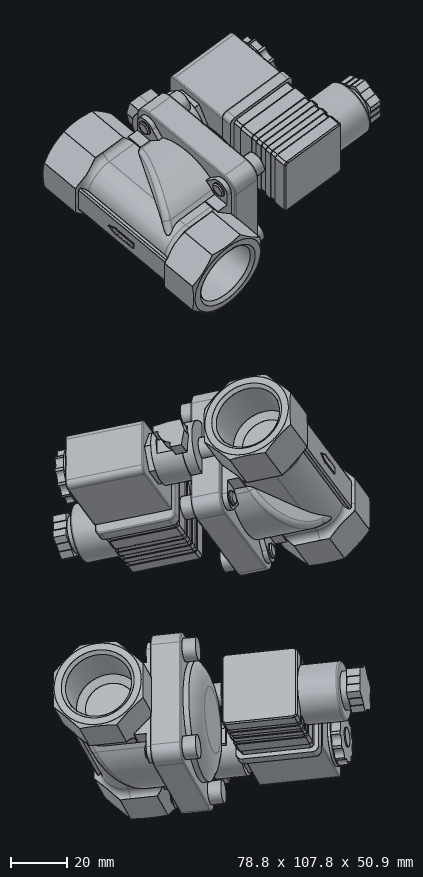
import cadquery as cq
import math


HEX_SIDES = 6

PORT_LEFT_X = -40.2
PORT_RIGHT_X = 38.6
LEFT_SHOULDER_X = -22.95
RIGHT_SHOULDER_X = 23.2
PORT_SIDES = 8
PORT_FLATS = 32.8
PORT_END_DIAMETER = 31.8
PORT_CHAMFER_LENGTH = 0.9
BORE_DIAMETER = 24.12
BORE_MOUTH_DIAMETER = 26.6
BORE_FLOOR_DIAMETER = 18.4
BORE_DEPTH = 19.5
BORE_FLOOR_CONE_LENGTH = 1.65
TUBE_HALF_WIDTH = 14.0
TUBE_ARC_RADIUS = 10.2
TUBE_ARC_CENTER_Y = -3.1
NECK_BOTTOM_Y = 9.5
FLARE_RADIUS = 3.3

RIB_BOTTOM_Y = -15.2
RIB_ROOT_Y = -12.9
RIB_ROOT_HALF_WIDTH = 5.6
RIB_SHOULDER_Y = -14.6
RIB_SHOULDER_HALF_WIDTH = 6.2
RIB_BOTTOM_HALF_WIDTH = 5.4
ARROW_HEIGHT = 0.4
ARROW_TIP_X = -7.0
ARROW_NECK_X = -2.8
ARROW_TAIL_X = 6.0
ARROW_HEAD_HALF_WIDTH = 1.7
ARROW_SHAFT_HALF_WIDTH = 1.3

FLANGE_SIZE = 50.9
FLANGE_CORNER_RADIUS = 5.8
FLANGE_EDGE_ROUNDING = 0.4
FLANGE_BOTTOM_Y = 16.0
FLANGE_TOP_Y = 27.05
CHAMBER_RADIUS = 21.75
CHAMBER_FLOOR_SLOPE = 28.0
CHAMBER_FLOOR_Y = -1.0
CHAMBER_FLOOR_ROUNDING = 2.0
NECK_HALF_LENGTH = 23.3
SCREW_PITCH = 38.4
SCREW_BOSS_DIAMETER = 8.2
SCREW_BOSS_BOTTOM_Y = 14.0
SCREW_TIP_DIAMETER = 5.5
SCREW_TIP_Y = 13.0
SCREW_TIP_CHAMFER = 0.5
SCREW_HEAD_DIAMETER = 8.5
SCREW_HEAD_TOP_Y = 31.95
WEB_WIDTH = 7.8
WEB_OVERLAP = 1.0
COVER_SIDE_TOP_Y = 29.15
COVER_TOP_Y = 32.6
COVER_FLAT_RADIUS = 12.0

PILOT_X = -24.95
PILOT_DIAMETER = 20.2
PILOT_COLLAR_DIAMETER = 20.8
PILOT_BOTTOM_Y = 22.8
PILOT_TOP_Y = 38.6
PILOT_FLAT_X = -34.2
PILOT_FLAT_BOTTOM_Y = 24.8
PILOT_FLAT_TOP_Y = 36.5
PILOT_HEX_FLATS = 15.8
CHANNEL_DIAMETER = 8.5
BRIDGE_END_X = -13.7
BRIDGE_TOP_Y = 34.0
BRIDGE_WIDTH = 6.0

LEVER_END_X = -39.7
LEVER_BEAK_Y = 36.0
LEVER_BEAK_TOP_Z = 4.0
LEVER_BEAK_BOTTOM_Z = 1.4
LEVER_BACK_START_Y = 30.3
LEVER_BACK_END_Y = 25.5
LEVER_BACK_Z = 4.75
LEVER_NOSE_Y = 24.0
LEVER_HEEL_FRONT_Y = 25.1
LEVER_HEEL_REAR_Y = 29.4
LEVER_HEEL_Z = -6.1
LEVER_SCOOP_START_Y = 34.1
LEVER_SCOOP_MID_Y = 32.6
LEVER_SCOOP_MID_Z = -2.2
LEVER_SCOOP_END_Z = -4.2

COIL_LEFT_X = -35.8
COIL_RIGHT_X = -7.6
COIL_BOTTOM_Y = 41.35
COIL_TOP_Y = 70.85
COIL_HALF_HEIGHT = 11.0
COIL_SIDE_ROUNDING = 2.5
COIL_EDGE_ROUNDING = 0.4
COIL_NUT_RIM_DIAMETER = 20.2
COIL_NUT_RIM_TOP_Y = 71.9
COIL_NUT_DIAMETER = 19.9
COIL_NUT_TOP_Y = 75.4
COIL_NUT_FLUTES = 12
FLUTE_RADIUS = 2.6
FLUTE_CENTER_RADIUS = 11.3
COIL_NUT_CENTER_DIAMETER = 7.0
COIL_NUT_CENTER_TOP_Y = 75.8

PLATE_RIGHT_X = -3.15
PLATE_BOTTOM_Y = 40.3
PLATE_TOP_Y = 70.55
PLATE_HALF_HEIGHT = 15.0
PLATE_CORNER_RADIUS = 2.3
PLATE_EDGE_ROUNDING = 0.5
PLUG_STEP_X = 0.65
PLUG_RIGHT_X = 23.75
PLUG_BOTTOM_Y = 41.7
PLUG_TOP_Y = 69.2
PLUG_HALF_HEIGHT = 13.75
PLUG_CHAMFER = 1.0
GROOVE_DEPTH = 0.4
GROOVE_WIDTH = 2.45
GROOVE_FIRST_X = 6.3
GROOVE_SPACING = 4.9
GROOVE_COUNT = 3
GLAND_X = 12.5
GLAND_DIAMETER = 21.5
GLAND_TOP_Y = 83.8
GLAND_ROUNDING = 0.6
GLAND_NECK_DIAMETER = 14.0
CAP_BOTTOM_Y = 86.4
CAP_TOP_Y = 91.35
CAP_FLATS = 15.9
CAP_GROOVE_WIDTH = 3.15
CAP_GROOVE_DEPTH = 0.35


def block(x_range, y_range, z_range):
    """Box between pairs of limits along each axis."""
    size = [high - low for low, high in (x_range, y_range, z_range)]
    corner = (x_range[0], y_range[0], z_range[0])
    return cq.Workplane("XY").box(*size, centered=False).translate(corner)


def level(y, x=0.0, z=0.0):
    """Sketch plane facing +Y at height y, with local x along +Z and local y along +X."""
    return cq.Workplane(cq.Plane(origin=(x, y, z), xDir=(0, 0, 1), normal=(0, 1, 0)))


def station(x):
    """Sketch plane facing +X, with local x along +Y and local y along +Z."""
    return cq.Workplane(cq.Plane(origin=(x, 0, 0), xDir=(0, 1, 0), normal=(1, 0, 0)))


def post(diameter, bottom_y, top_y, x=0.0, z=0.0):
    """Round post standing along Y."""
    return level(bottom_y, x, z).circle(diameter / 2).extrude(top_y - bottom_y)


def hex_post(flats, bottom_y, top_y, x, turn=0):
    """Hexagonal post along Y; unturned, two of its corners point along Z."""
    across_corners = flats / math.cos(math.pi / HEX_SIDES)
    post_at_axis = level(bottom_y).polygon(HEX_SIDES, across_corners).extrude(top_y - bottom_y)
    return post_at_axis.rotate((0, 0, 0), (0, 1, 0), turn).translate((x, 0, 0))


def octagon_bar(start_x, end_x):
    """Octagonal bar along X with flats square to Y and Z."""
    across_corners = PORT_FLATS / math.cos(math.pi / PORT_SIDES)
    bar = station(start_x).polygon(PORT_SIDES, across_corners).extrude(end_x - start_x)
    return bar.rotate((0, 0, 0), (1, 0, 0), 180 / PORT_SIDES)


def port(end_x, shoulder_x):
    """Octagonal port with a turned chamfer on its outer end."""
    inward = math.copysign(1, shoulder_x - end_x)
    length = abs(shoulder_x - end_x)
    corner_radius = PORT_FLATS / 2 / math.cos(math.pi / PORT_SIDES)
    turned = (
        cq.Workplane("XY")
        .moveTo(end_x, 0)
        .lineTo(end_x, PORT_END_DIAMETER / 2)
        .lineTo(end_x + inward * PORT_CHAMFER_LENGTH, corner_radius)
        .lineTo(end_x + inward * length, corner_radius)
        .lineTo(end_x + inward * length, 0)
        .close()
        .revolve(360, (0, 0, 0), (1, 0, 0))
    )
    return octagon_bar(end_x, shoulder_x).intersect(turned)


def port_bore(end_x, inward):
    """Blind bore with a chamfered mouth and a coned floor."""
    mouth_depth = (BORE_MOUTH_DIAMETER - BORE_DIAMETER) / 2
    return (
        cq.Workplane("XY")
        .moveTo(end_x, 0)
        .lineTo(end_x, BORE_MOUTH_DIAMETER / 2)
        .lineTo(end_x + inward * mouth_depth, BORE_DIAMETER / 2)
        .lineTo(end_x + inward * (BORE_DEPTH - BORE_FLOOR_CONE_LENGTH), BORE_DIAMETER / 2)
        .lineTo(end_x + inward * BORE_DEPTH, BORE_FLOOR_DIAMETER / 2)
        .lineTo(end_x + inward * BORE_DEPTH, 0)
        .close()
        .revolve(360, (0, 0, 0), (1, 0, 0))
    )


def tube():
    """Tube between the ports, flaring into both shoulders."""
    bottom_y = TUBE_ARC_CENTER_Y - TUBE_ARC_RADIUS
    arc_center_z = TUBE_HALF_WIDTH - TUBE_ARC_RADIUS
    diagonal = TUBE_ARC_RADIUS * math.sqrt(0.5)
    arc_mid_y = TUBE_ARC_CENTER_Y - diagonal
    arc_mid_z = arc_center_z + diagonal
    core = (
        station(LEFT_SHOULDER_X)
        .moveTo(FLANGE_BOTTOM_Y, -TUBE_HALF_WIDTH)
        .lineTo(TUBE_ARC_CENTER_Y, -TUBE_HALF_WIDTH)
        .threePointArc((arc_mid_y, -arc_mid_z), (bottom_y, -arc_center_z))
        .lineTo(bottom_y, arc_center_z)
        .threePointArc((arc_mid_y, arc_mid_z), (TUBE_ARC_CENTER_Y, TUBE_HALF_WIDTH))
        .lineTo(FLANGE_BOTTOM_Y, TUBE_HALF_WIDTH)
        .close()
        .extrude(RIGHT_SHOULDER_X - LEFT_SHOULDER_X)
    )
    end_plate_thickness = 1
    spool = core
    for shoulder_x, outward in ((LEFT_SHOULDER_X, -1), (RIGHT_SHOULDER_X, 1)):
        end_plate = block(
            sorted((shoulder_x, shoulder_x + outward * end_plate_thickness)),
            (-PORT_FLATS, FLANGE_BOTTOM_Y),
            (-PORT_FLATS, PORT_FLATS),
        )
        spool = spool.union(end_plate)
    margin = 0.1
    for shoulder_x in (LEFT_SHOULDER_X, RIGHT_SHOULDER_X):
        corner = cq.selectors.BoxSelector(
            (shoulder_x - margin, bottom_y - margin, -TUBE_HALF_WIDTH - margin),
            (shoulder_x + margin, FLANGE_BOTTOM_Y - margin, TUBE_HALF_WIDTH + margin),
        )
        spool = spool.edges(corner).fillet(FLARE_RADIUS)
    below_neck = block(
        (LEFT_SHOULDER_X, RIGHT_SHOULDER_X),
        (-PORT_FLATS, NECK_BOTTOM_Y),
        (-PORT_FLATS, PORT_FLATS),
    )
    return spool.intersect(octagon_bar(LEFT_SHOULDER_X, RIGHT_SHOULDER_X)).intersect(below_neck)


def neck():
    """Straight block that carries the flange above the tube."""
    return block(
        (-NECK_HALF_LENGTH, NECK_HALF_LENGTH),
        (NECK_BOTTOM_Y, FLANGE_BOTTOM_Y),
        (-TUBE_HALF_WIDTH, TUBE_HALF_WIDTH),
    )


def rib():
    """Flat rib under the tube, widening down to a shoulder and chamfered below it."""
    half_outline = [
        (RIB_ROOT_Y, RIB_ROOT_HALF_WIDTH),
        (RIB_SHOULDER_Y, RIB_SHOULDER_HALF_WIDTH),
        (RIB_BOTTOM_Y, RIB_BOTTOM_HALF_WIDTH),
    ]
    mirrored = [(y, -z) for y, z in reversed(half_outline)]
    return (
        station(LEFT_SHOULDER_X)
        .polyline(half_outline + mirrored)
        .close()
        .extrude(RIGHT_SHOULDER_X - LEFT_SHOULDER_X)
    )


def flow_arrow():
    half_outline = [
        (ARROW_NECK_X, ARROW_HEAD_HALF_WIDTH),
        (ARROW_NECK_X, ARROW_SHAFT_HALF_WIDTH),
        (ARROW_TAIL_X, ARROW_SHAFT_HALF_WIDTH),
    ]
    mirrored = [(x, -z) for x, z in reversed(half_outline)]
    outline = [(ARROW_TIP_X, 0)] + half_outline + mirrored
    return cq.Workplane("XZ", origin=(0, RIB_BOTTOM_Y, 0)).polyline(outline).close().extrude(ARROW_HEIGHT)


def chamber():
    """Diaphragm chamber: a drum drawn out to a point at both ends, with a sloping rounded floor."""
    tip_x = CHAMBER_RADIUS * math.sqrt(2)
    tangent = CHAMBER_RADIUS * math.sqrt(0.5)
    low_y = -PORT_FLATS / 2
    drum = (
        level(low_y)
        .moveTo(0, tip_x)
        .lineTo(tangent, tangent)
        .threePointArc((CHAMBER_RADIUS, 0), (tangent, -tangent))
        .lineTo(0, -tip_x)
        .lineTo(-tangent, -tangent)
        .threePointArc((-CHAMBER_RADIUS, 0), (-tangent, tangent))
        .close()
        .extrude(FLANGE_BOTTOM_Y - low_y)
    )
    reach = 2 * FLANGE_SIZE
    above_floor = (
        block((-reach, reach), (0, reach), (-reach, reach))
        .rotate((0, 0, 0), (0, 0, 1), -CHAMBER_FLOOR_SLOPE)
        .translate((0, CHAMBER_FLOOR_Y, 0))
    )
    between_ports = block((-NECK_HALF_LENGTH, NECK_HALF_LENGTH), (-reach, reach), (-reach, reach))
    slope = math.radians(CHAMBER_FLOOR_SLOPE)
    floor_normal = cq.Vector(-math.sin(slope), -math.cos(slope), 0)
    return (
        drum.intersect(above_floor)
        .intersect(between_ports)
        .faces(cq.selectors.DirectionMinMaxSelector(floor_normal, True))
        .edges("not |Z")
        .fillet(CHAMBER_FLOOR_ROUNDING)
    )


def flange():
    return (
        level(FLANGE_BOTTOM_Y)
        .rect(FLANGE_SIZE, FLANGE_SIZE)
        .extrude(FLANGE_TOP_Y - FLANGE_BOTTOM_Y)
        .edges("|Y")
        .fillet(FLANGE_CORNER_RADIUS)
        .faces("<Y or >Y")
        .edges()
        .fillet(FLANGE_EDGE_ROUNDING)
    )


def cover_dome():
    rise = COVER_TOP_Y - COVER_SIDE_TOP_Y
    run = CHAMBER_RADIUS - COVER_FLAT_RADIUS
    return (
        cq.Workplane("XY")
        .moveTo(0, FLANGE_TOP_Y)
        .lineTo(0, COVER_TOP_Y)
        .lineTo(COVER_FLAT_RADIUS, COVER_TOP_Y)
        .tangentArcPoint((run, -rise))
        .lineTo(CHAMBER_RADIUS, FLANGE_TOP_Y)
        .close()
        .revolve(360, (0, 0, 0), (0, 1, 0))
    )


def screw_station(x_sign, z_sign):
    """Flange boss with its web to the chamber, screw tip below and screw head above."""
    x = x_sign * SCREW_PITCH / 2
    z = z_sign * SCREW_PITCH / 2
    boss = post(SCREW_BOSS_DIAMETER, SCREW_BOSS_BOTTOM_Y, FLANGE_BOTTOM_Y, x, z)
    web_length = math.hypot(x, z) - CHAMBER_RADIUS + WEB_OVERLAP
    web_angle = math.degrees(math.atan2(-z, -x))
    web = (
        block(
            (0, web_length),
            (SCREW_BOSS_BOTTOM_Y, FLANGE_BOTTOM_Y),
            (-WEB_WIDTH / 2, WEB_WIDTH / 2),
        )
        .rotate((0, 0, 0), (0, 1, 0), -web_angle)
        .translate((x, 0, z))
    )
    side = block(
        sorted((x, x_sign * (abs(x) + SCREW_BOSS_DIAMETER / 2))),
        (SCREW_BOSS_BOTTOM_Y, FLANGE_BOTTOM_Y),
        sorted((z, z_sign * TUBE_HALF_WIDTH)),
    )
    tip = post(SCREW_TIP_DIAMETER, SCREW_TIP_Y, FLANGE_BOTTOM_Y, x, z).faces("<Y").chamfer(SCREW_TIP_CHAMFER)
    head = post(SCREW_HEAD_DIAMETER, FLANGE_TOP_Y, SCREW_HEAD_TOP_Y, x, z)
    return boss.union(web).union(side).union(tip).union(head)


def pilot():
    """Pilot housing with its lever flat, the hexagon under the coil, the channel and the bridge."""
    housing = post(PILOT_DIAMETER, PILOT_BOTTOM_Y, PILOT_TOP_Y, PILOT_X)
    collar = post(PILOT_COLLAR_DIAMETER, PILOT_BOTTOM_Y, FLANGE_TOP_Y, PILOT_X)
    lever_flat = block(
        (PILOT_X - PILOT_DIAMETER, PILOT_FLAT_X),
        (PILOT_FLAT_BOTTOM_Y, PILOT_FLAT_TOP_Y),
        (-PILOT_DIAMETER / 2, PILOT_DIAMETER / 2),
    )
    hexagon = hex_post(PILOT_HEX_FLATS, PILOT_TOP_Y, COIL_BOTTOM_Y, PILOT_X, 180 / HEX_SIDES)
    channel = post(CHANNEL_DIAMETER, NECK_BOTTOM_Y, PILOT_BOTTOM_Y, PILOT_X)
    bridge = block(
        (PILOT_X, BRIDGE_END_X),
        (FLANGE_TOP_Y, BRIDGE_TOP_Y),
        (-BRIDGE_WIDTH / 2, BRIDGE_WIDTH / 2),
    )
    return housing.union(collar).cut(lever_flat).union(hexagon).union(channel).union(bridge)


def lever():
    """Hand lever: a grip with a beak pointing up and a heel on its lower side."""
    return (
        station(LEVER_END_X)
        .moveTo(LEVER_BEAK_Y, LEVER_BEAK_TOP_Z)
        .lineTo(LEVER_BACK_START_Y, LEVER_BACK_Z)
        .lineTo(LEVER_BACK_END_Y, LEVER_BACK_Z)
        .lineTo(LEVER_NOSE_Y, 0)
        .lineTo(LEVER_HEEL_FRONT_Y, LEVER_HEEL_Z)
        .lineTo(LEVER_HEEL_REAR_Y, LEVER_HEEL_Z)
        .lineTo(LEVER_HEEL_REAR_Y, LEVER_SCOOP_END_Z)
        .threePointArc((LEVER_SCOOP_MID_Y, LEVER_SCOOP_MID_Z), (LEVER_SCOOP_START_Y, LEVER_BEAK_BOTTOM_Z))
        .lineTo(LEVER_BEAK_Y, LEVER_BEAK_BOTTOM_Z)
        .close()
        .extrude(PILOT_FLAT_X - LEVER_END_X)
    )


def make_valve():
    valve = tube().union(neck()).union(chamber()).union(rib())
    valve = valve.union(port(PORT_LEFT_X, LEFT_SHOULDER_X)).union(port(PORT_RIGHT_X, RIGHT_SHOULDER_X))
    valve = valve.union(flow_arrow()).union(flange()).union(cover_dome())
    for x_sign in (-1, 1):
        for z_sign in (-1, 1):
            valve = valve.union(screw_station(x_sign, z_sign))
    valve = valve.union(pilot()).union(lever())
    return valve.cut(port_bore(PORT_LEFT_X, 1)).cut(port_bore(PORT_RIGHT_X, -1))


def coil_nut():
    rim = post(COIL_NUT_RIM_DIAMETER, COIL_TOP_Y, COIL_NUT_RIM_TOP_Y, PILOT_X)
    grip = post(COIL_NUT_DIAMETER, COIL_NUT_RIM_TOP_Y, COIL_NUT_TOP_Y, PILOT_X)
    flutes = (
        level(COIL_NUT_RIM_TOP_Y, PILOT_X)
        .polarArray(FLUTE_CENTER_RADIUS, 0, 360, COIL_NUT_FLUTES)
        .circle(FLUTE_RADIUS)
        .extrude(COIL_NUT_TOP_Y - COIL_NUT_RIM_TOP_Y)
    )
    center = post(COIL_NUT_CENTER_DIAMETER, COIL_NUT_TOP_Y, COIL_NUT_CENTER_TOP_Y, PILOT_X)
    return rim.union(grip.cut(flutes)).union(center)


def make_coil():
    body = (
        block(
            (COIL_LEFT_X, COIL_RIGHT_X),
            (COIL_BOTTOM_Y, COIL_TOP_Y),
            (-COIL_HALF_HEIGHT, COIL_HALF_HEIGHT),
        )
        .edges("|Y and <X")
        .fillet(COIL_SIDE_ROUNDING)
        .faces("<Y or >Y")
        .edges("not >X")
        .fillet(COIL_EDGE_ROUNDING)
    )
    return body.union(coil_nut())


def plate():
    return (
        block(
            (COIL_RIGHT_X, PLATE_RIGHT_X),
            (PLATE_BOTTOM_Y, PLATE_TOP_Y),
            (-PLATE_HALF_HEIGHT, PLATE_HALF_HEIGHT),
        )
        .edges("|X")
        .fillet(PLATE_CORNER_RADIUS)
        .faces("<X")
        .edges()
        .fillet(PLATE_EDGE_ROUNDING)
    )


def plug_section(start_x, end_x, inset):
    """Stretch of the plug housing, set in from its full outline."""
    return (
        block(
            (start_x, end_x),
            (PLUG_BOTTOM_Y + inset, PLUG_TOP_Y - inset),
            (-PLUG_HALF_HEIGHT + inset, PLUG_HALF_HEIGHT - inset),
        )
        .edges("|X")
        .chamfer(PLUG_CHAMFER)
    )


def plug():
    housing = plug_section(PLUG_STEP_X, PLUG_RIGHT_X, 0).faces(">X").chamfer(PLUG_CHAMFER / 2)
    for index in range(GROOVE_COUNT):
        groove_x = GROOVE_FIRST_X + index * GROOVE_SPACING
        groove_end_x = groove_x + GROOVE_WIDTH
        ring = plug_section(groove_x, groove_end_x, 0).cut(
            plug_section(groove_x, groove_end_x, GROOVE_DEPTH)
        )
        housing = housing.cut(ring)
    return housing.union(plug_section(PLATE_RIGHT_X, PLUG_STEP_X, GROOVE_DEPTH))


def gland():
    sleeve = post(GLAND_DIAMETER, PLUG_TOP_Y - PLUG_CHAMFER, GLAND_TOP_Y, GLAND_X)
    sleeve = sleeve.faces(">Y").edges().fillet(GLAND_ROUNDING)
    stem = post(GLAND_NECK_DIAMETER, GLAND_TOP_Y, CAP_BOTTOM_Y, GLAND_X)
    cap = hex_post(CAP_FLATS, CAP_BOTTOM_Y, CAP_TOP_Y, GLAND_X)
    for index in range(HEX_SIDES):
        groove = block(
            (CAP_FLATS / 2 - CAP_GROOVE_DEPTH, CAP_FLATS),
            (CAP_BOTTOM_Y, CAP_TOP_Y),
            (-CAP_GROOVE_WIDTH / 2, CAP_GROOVE_WIDTH / 2),
        )
        groove = groove.rotate((0, 0, 0), (0, 1, 0), 360 / HEX_SIDES * index).translate((GLAND_X, 0, 0))
        cap = cap.cut(groove)
    return sleeve.union(stem).union(cap)


def make_connector():
    return plate().union(plug()).union(gland())


valve = make_valve()
coil = make_coil()
connector = make_connector()
result = cq.Compound.makeCompound([body.solids().val() for body in (valve, coil, connector)])